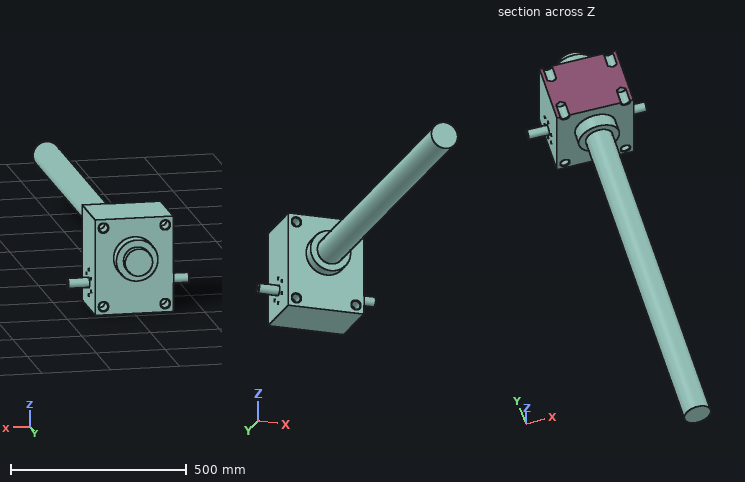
import cadquery as cq
import math


housing_width = 228.0
housing_depth = 179.0
housing_height = 280.0
housing_top = 115.0
housing_center_z = housing_top - housing_height / 2

sleeve_diameter = 120.0
sleeve_projection = 38.0
sleeve_length = housing_depth + 2 * sleeve_projection
screw_diameter = 80.0
screw_length = 1281.0
screw_projection = 24.0
screw_rear_y = sleeve_length / 2 + screw_projection

shaft_diameter = 30.0
shaft_length = 350.0
shaft_z = -90.0
shaft_bore_diameter = 8.3
shaft_bore_depth = 19.0

mount_hole_diameter = 25.0
mount_rim_diameter = 30.0
mount_hole_depth = 45.0
mount_spacing_x = 179.0
mount_spacing_z = 230.0

flange_hole_diameter = 6.7
flange_hole_depth = 19.0
flange_hole_count = 6
flange_circle_diameter = 74.0

drill_point_angle = 120.0


def cylinder(start, direction, diameter, length):
    return cq.Solid.makeCylinder(diameter / 2, length, cq.Vector(*start), cq.Vector(*direction))


def drilled_hole(start, direction, diameter, depth, rim_diameter=None):
    """Cutter for a blind hole with a conical bottom and, if asked for, a 45 degree rim chamfer."""
    radius = diameter / 2
    point_length = radius / math.tan(math.radians(drill_point_angle / 2))
    origin = cq.Vector(*start)
    axis = cq.Vector(*direction)
    point = cq.Solid.makeCone(radius, 0, point_length, origin + axis * depth, axis)
    cutter = cylinder(start, direction, diameter, depth).fuse(point)
    if rim_diameter is not None:
        rim_depth = (rim_diameter - diameter) / 2
        cutter = cutter.fuse(cq.Solid.makeCone(rim_diameter / 2, radius, rim_depth, origin, axis))
    return cutter


def make_sleeve_blank():
    return cylinder((0, -sleeve_length / 2, 0), (0, 1, 0), sleeve_diameter, sleeve_length)


def make_screw():
    return cylinder((0, screw_rear_y, 0), (0, -1, 0), screw_diameter, screw_length)


def make_shaft_blank():
    return cylinder((-shaft_length / 2, 0, shaft_z), (1, 0, 0), shaft_diameter, shaft_length)


def make_sleeve():
    return cq.Workplane(obj=make_sleeve_blank()).cut(cq.Workplane(obj=make_screw()))


def make_shaft():
    shaft = cq.Workplane(obj=make_shaft_blank())
    for side in (-1, 1):
        bore = drilled_hole(
            (side * shaft_length / 2, 0, shaft_z), (-side, 0, 0), shaft_bore_diameter, shaft_bore_depth
        )
        shaft = shaft.cut(cq.Workplane(obj=bore))
    return shaft


def mount_holes():
    """Chamfered blind holes, four in the front face and four in the rear face."""
    holes = []
    for face in (-1, 1):
        for column in (-1, 1):
            for row in (-1, 1):
                start = (
                    column * mount_spacing_x / 2,
                    face * housing_depth / 2,
                    housing_center_z + row * mount_spacing_z / 2,
                )
                inward = (0, -face, 0)
                hole = drilled_hole(
                    start, inward, mount_hole_diameter, mount_hole_depth, mount_rim_diameter
                )
                holes.append(hole)
    return holes


def flange_holes():
    """Ring of small blind holes around the drive shaft, in both side faces."""
    holes = []
    for side in (-1, 1):
        for index in range(flange_hole_count):
            angle = 2 * math.pi * index / flange_hole_count
            start = (
                side * housing_width / 2,
                flange_circle_diameter / 2 * math.sin(angle),
                shaft_z + flange_circle_diameter / 2 * math.cos(angle),
            )
            holes.append(drilled_hole(start, (-side, 0, 0), flange_hole_diameter, flange_hole_depth))
    return holes


def make_housing():
    housing = cq.Workplane("XY").box(housing_width, housing_depth, housing_height)
    housing = housing.translate((0, 0, housing_center_z))
    for cutter in [make_sleeve_blank(), make_shaft_blank(), *mount_holes(), *flange_holes()]:
        housing = housing.cut(cq.Workplane(obj=cutter))
    return housing


housing = make_housing()
sleeve = make_sleeve()
screw = make_screw()
shaft = make_shaft()

result = cq.Compound.makeCompound([
    housing.solids().val(),
    sleeve.solids().val(),
    screw,
    shaft.solids().val(),
])